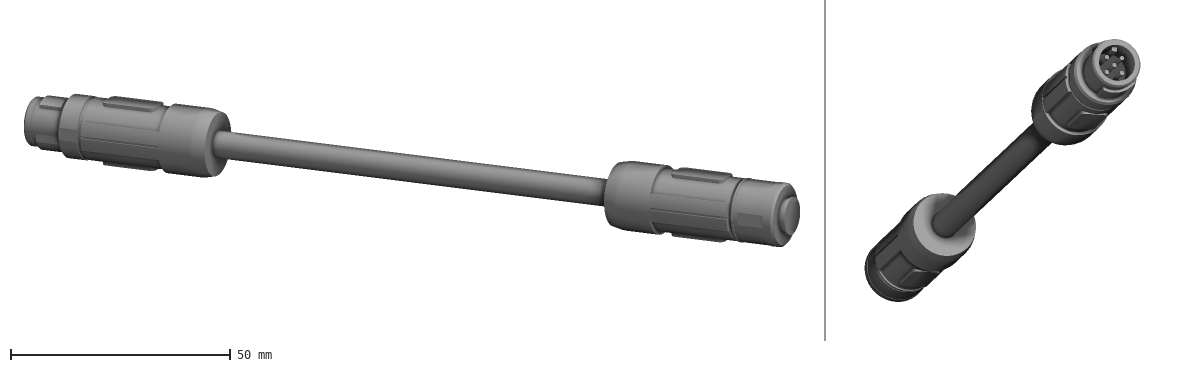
import math
import cadquery as cq

TOTAL_LENGTH = 190.04
CABLE_LENGTH = 100.0
CABLE_RADIUS = 3.15
OUTER_RADIUS = 8.0

CAP_LENGTH = 11.5
CAP_ROUND_LENGTH = 3.4
CAP_ROUND_DROP = 0.6

GRIP_LENGTH = 19.4
GRIP_RADIUS = 7.25
RIB_RADIUS = 7.9
RIB_HALF_WIDTH = 3.3
RIB_GROOVE_WIDTH = 0.6
RIB_GROOVE_DEPTH = 0.4
PAD_LENGTH = 13.2
PAD_WIDTH = 6.3
PAD_CORNER_RADIUS = 1.2
PAD_HEIGHT = 7.4
PAD_OFFSET = 3.1

RING_RADIUS = 7.4
RING_CHAMFER = 0.5
RING_FLAT_WIDTH = 3.0

SLEEVE_LENGTH = 9.3
SLEEVE_RADIUS = 5.55
RIM_LENGTH = 1.8
RIM_RADIUS = 5.7
RIM_CHAMFER = 0.4
PIN_SEAM_WIDTH = 1.1
PIN_SEAM_RADIUS = 7.1
LUG_RADIUS = 6.25
LUG_START = 3.1
LUG_END = 8.5
LUG_SPANS = ((-3.5, 3.5, 1), (-5.4, 2.3, -1))
CAVITY_RADIUS = 4.25
CAVITY_DEPTH = 8.0
PIN_RADIUS = 0.5
PIN_CIRCLE_RADIUS = 2.5
PIN_SETBACK = 2.0
KEY_WIDTH = 1.1
KEY_HEIGHT = 1.0
KEY_ROOT = 0.5

SOCKET_PLUG_LENGTH = 43.8
NOSE_LENGTH = 1.7
NOSE_RADIUS = 4.0
LIP_LENGTH = 0.5
LIP_RADIUS = 4.35
FLANGE_LENGTH = 2.4
SOCKET_RING_RADIUS = 7.3
SOCKET_SEAM_WIDTH = 0.8
SOCKET_SEAM_RADIUS = 6.4
COLLAR_LENGTH = 0.5
BAND_LENGTH = 1.0
BAND_RADIUS = 7.2

CAP_END_SOCKET = TOTAL_LENGTH - SOCKET_PLUG_LENGTH
CAP_END_PIN = CAP_END_SOCKET - CABLE_LENGTH
CAP_START_PIN = CAP_END_PIN - CAP_LENGTH
CAP_START_SOCKET = CAP_END_SOCKET + CAP_LENGTH
GRIP_START_PIN = CAP_START_PIN - GRIP_LENGTH
GRIP_END_SOCKET = CAP_START_SOCKET + GRIP_LENGTH
RING_END_PIN = GRIP_START_PIN - PIN_SEAM_WIDTH
RING_START_SOCKET = GRIP_END_SOCKET + SOCKET_SEAM_WIDTH
BAND_START = RING_START_SOCKET + COLLAR_LENGTH
BAND_END = BAND_START + BAND_LENGTH
NOSE_START = TOTAL_LENGTH - NOSE_LENGTH
FLANGE_START = NOSE_START - FLANGE_LENGTH


def rod(x_from, x_to, radius, y=0, z=0):
    """Cylinder along X."""
    return cq.Workplane("YZ", origin=(x_from, y, z)).circle(radius).extrude(x_to - x_from)


def block(x_from, x_to, y_from, y_to, z_from, z_to):
    """Box between two corners."""
    size = (x_to - x_from, y_to - y_from, z_to - z_from)
    return cq.Workplane("XY").box(*size, centered=False).translate((x_from, y_from, z_from))


def cap(x_cable, direction):
    """Cap with a rounded shoulder towards the cable; direction points away from the cable."""
    shoulder_radius = (CAP_ROUND_LENGTH**2 + CAP_ROUND_DROP**2) / (2 * CAP_ROUND_DROP)
    half_angle = math.asin(CAP_ROUND_LENGTH / shoulder_radius) / 2
    x_round = x_cable + direction * CAP_ROUND_LENGTH
    x_middle = x_round - direction * shoulder_radius * math.sin(half_angle)
    r_middle = OUTER_RADIUS - shoulder_radius * (1 - math.cos(half_angle))
    x_grip = x_cable + direction * CAP_LENGTH
    return (
        cq.Workplane("XY")
        .moveTo(x_cable, 0)
        .lineTo(x_cable, OUTER_RADIUS - CAP_ROUND_DROP)
        .threePointArc((x_middle, r_middle), (x_round, OUTER_RADIUS))
        .lineTo(x_grip, OUTER_RADIUS)
        .lineTo(x_grip, 0)
        .close()
        .revolve(360, (0, 0, 0), (1, 0, 0))
    )


def grip(x_from, pad_centre):
    """Round grip with a grooved rib on each Y side and a flat pad on top and bottom."""
    x_to = x_from + GRIP_LENGTH
    ribs = rod(x_from, x_to, RIB_RADIUS).intersect(
        block(x_from, x_to, -RIB_RADIUS, RIB_RADIUS, -RIB_HALF_WIDTH, RIB_HALF_WIDTH)
    )
    pads = (
        cq.Workplane("XY", origin=(pad_centre, 0, 0))
        .rect(PAD_LENGTH, PAD_WIDTH)
        .extrude(PAD_HEIGHT, both=True)
        .edges("|Z")
        .fillet(PAD_CORNER_RADIUS)
    )
    body = rod(x_from, x_to, GRIP_RADIUS).union(ribs).union(pads)
    groove_floor = RIB_RADIUS - RIB_GROOVE_DEPTH
    half_groove = RIB_GROOVE_WIDTH / 2
    for y_from, y_to in ((-RIB_RADIUS, -groove_floor), (groove_floor, RIB_RADIUS)):
        body = body.cut(block(x_from, x_to, y_from, y_to, -half_groove, half_groove))
    return body


def ring_flats(ring, radius, x_from, x_to):
    """Cut a narrow flat on each Y side of a coupling ring."""
    half_width = RING_FLAT_WIDTH / 2
    flat_y = math.sqrt(radius**2 - half_width**2)
    for y_from, y_to in ((-radius, -flat_y), (flat_y, radius)):
        ring = ring.cut(block(x_from, x_to, y_from, y_to, -half_width, half_width))
    return ring


def lug(y_from, y_to, side):
    """Curved coding lug on the sleeve, above (side 1) or below (side -1) the axis."""
    z_from, z_to = sorted((0, side * LUG_RADIUS))
    return rod(LUG_START, LUG_END, LUG_RADIUS).intersect(
        block(LUG_START, LUG_END, y_from, y_to, z_from, z_to)
    )


def pin_front():
    """Sleeve with pins, coding lugs and coupling ring."""
    rim = rod(0, RIM_LENGTH, RIM_RADIUS).faces("<X").chamfer(RIM_CHAMFER)
    body = rim.union(rod(RIM_LENGTH, SLEEVE_LENGTH, SLEEVE_RADIUS))
    for y_from, y_to, side in LUG_SPANS:
        body = body.union(lug(y_from, y_to, side))
    body = body.cut(rod(0, CAVITY_DEPTH, CAVITY_RADIUS))

    ring = rod(SLEEVE_LENGTH, RING_END_PIN, RING_RADIUS).faces("<X").chamfer(RING_CHAMFER)
    ring = ring_flats(ring, RING_RADIUS, SLEEVE_LENGTH + RING_CHAMFER, RING_END_PIN)
    body = body.union(ring).union(rod(RING_END_PIN, GRIP_START_PIN, PIN_SEAM_RADIUS))

    body = body.union(rod(PIN_SETBACK, CAVITY_DEPTH, PIN_RADIUS))
    for quarter in range(4):
        angle = math.radians(45 + 90 * quarter)
        y = PIN_CIRCLE_RADIUS * math.cos(angle)
        z = PIN_CIRCLE_RADIUS * math.sin(angle)
        body = body.union(rod(PIN_SETBACK, CAVITY_DEPTH, PIN_RADIUS, y, z))

    key_floor = CAVITY_RADIUS - KEY_HEIGHT
    key_top = CAVITY_RADIUS + KEY_ROOT
    key = block(PIN_SETBACK, CAVITY_DEPTH, -KEY_WIDTH / 2, KEY_WIDTH / 2, key_floor, key_top)
    return body.union(key)


def socket_front():
    """Coupling ring with seam, band and end flange, and the lipped nose."""
    ring = rod(BAND_END, FLANGE_START, SOCKET_RING_RADIUS)
    ring = ring_flats(ring, SOCKET_RING_RADIUS, BAND_END, FLANGE_START)
    flange = rod(FLANGE_START, NOSE_START, RING_RADIUS).faces(">X").chamfer(RING_CHAMFER)
    return (
        rod(GRIP_END_SOCKET, RING_START_SOCKET, SOCKET_SEAM_RADIUS)
        .union(rod(RING_START_SOCKET, BAND_START, RING_RADIUS))
        .union(rod(BAND_START, BAND_END, BAND_RADIUS))
        .union(ring)
        .union(flange)
        .union(rod(NOSE_START, TOTAL_LENGTH - LIP_LENGTH, NOSE_RADIUS))
        .union(rod(TOTAL_LENGTH - LIP_LENGTH, TOTAL_LENGTH, LIP_RADIUS))
    )


pad_centre_pin = CAP_START_PIN - PAD_OFFSET - PAD_LENGTH / 2
pad_centre_socket = CAP_START_SOCKET + PAD_OFFSET + PAD_LENGTH / 2

result = (
    rod(CAP_END_PIN, CAP_END_SOCKET, CABLE_RADIUS)
    .union(cap(CAP_END_PIN, -1))
    .union(cap(CAP_END_SOCKET, 1))
    .union(grip(GRIP_START_PIN, pad_centre_pin))
    .union(grip(CAP_START_SOCKET, pad_centre_socket))
    .union(pin_front())
    .union(socket_front())
)